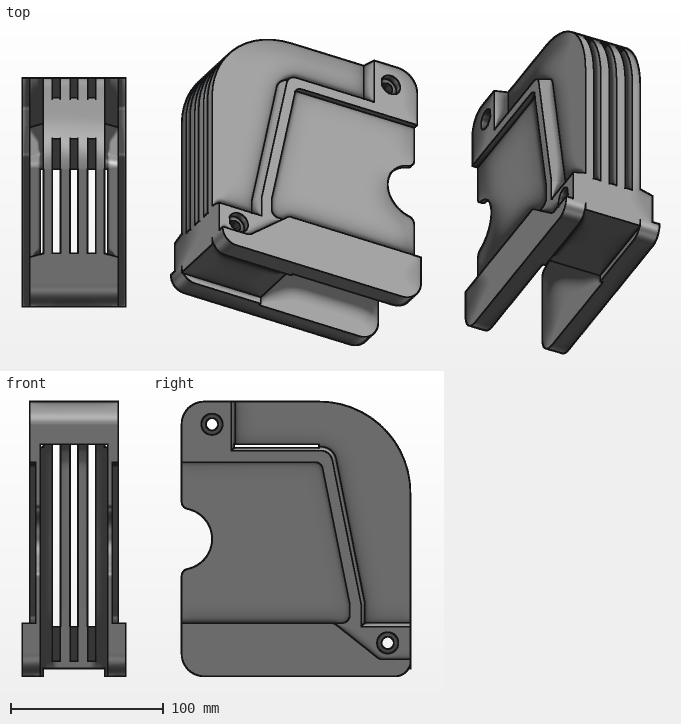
import cadquery as cq
import math

overshoot = 18.0
selection_margin = 1.8

depth = 150.0
height = 180.0

core_half = 20.0
cavity_half = 22.0
panel_half = 25.0
wall_half = 29.0
rail_half = 34.0

front_radius = 15.0
back_bottom_radius = 10.0
back_top_radius = 60.0
core_bottom = 5.0

cavity_back = 90.0
cavity_top = 152.0

notch_height = 90.0
notch_radius = 20.0
notch_edge_radius = 5.0

slope_run_per_rise = 0.2
slope_bottom = 47.5

panel_bottom = 35.0
panel_top = 140.2
panel_back = 110.2
panel_radius = 5.0

recess_front = 32.5
recess_bottom = 32.5
recess_ledge = 147.8
recess_back_start = 117.5
recess_radius = 7.5
recess_draft = 16.0

rail_top = panel_bottom
rail_back_top = 11.2
rail_slope_front = 99.9
rail_slope_back = 129.8
rail_radius = 5.0

slot_count = 3
slot_width = 5.2
slot_pitch = 11.5
top_slot_front = 35.3
top_slot_back = 110.2
top_slot_floor = 10.0
back_slot_bottom = recess_bottom
back_slot_top = 157.5

hole_inset = 15.0
top_hole_place = (20.0, height - hole_inset)
back_hole_place = (depth - hole_inset, 22.0)
hole_diameter = 8.0
counterbore_diameter = 14.0
counterbore_depth = 5.0


def box(x_range, y_range, z_range):
    """Box spanning the given (low, high) ranges."""
    corner_low, corner_high = zip(x_range, y_range, z_range)
    sizes = [high - low for low, high in zip(corner_low, corner_high)]
    return cq.Workplane("XY").box(*sizes, centered=False).translate(corner_low)


def outline(x, corners):
    """Closed YZ outline at the given X, from (y, z, corner radius) entries."""
    path = cq.Workplane("YZ", origin=(x, 0, 0))
    for index, (y, z, radius) in enumerate(corners):
        corner = cq.Vector(y, z)
        previous = cq.Vector(*corners[index - 1][:2])
        following = cq.Vector(*corners[(index + 1) % len(corners)][:2])
        back = (previous - corner).normalized()
        ahead = (following - corner).normalized()
        half_angle = back.getAngle(ahead) / 2
        tangent_length = radius / math.tan(half_angle)
        start = corner + back * tangent_length
        path = path.moveTo(start.x, start.y) if index == 0 else path.lineTo(start.x, start.y)
        if radius > 0:
            middle = corner + (back + ahead).normalized() * (radius / math.sin(half_angle) - radius)
            end = corner + ahead * tangent_length
            path = path.threePointArc((middle.x, middle.y), (end.x, end.y))
    return path.close()


def on_both_sides(solid):
    """The solid together with its mirror image across X = 0."""
    return solid.union(solid.mirror("YZ"))


def slope_shift(top):
    """Distance the sloping line moves forward from its lower end up to the given height."""
    return slope_run_per_rise * (top - slope_bottom)


def side_wall():
    """Left side wall with its notch in the front edge."""
    wall = outline(-wall_half, [
        (0, 0, front_radius),
        (depth, 0, back_bottom_radius),
        (depth, height, back_top_radius),
        (0, height, front_radius),
    ]).extrude(wall_half - core_half)
    notch = (
        cq.Workplane("YZ", origin=(-wall_half, 0, 0))
        .center(0, notch_height)
        .circle(notch_radius)
        .extrude(wall_half)
    )
    notch_edges = cq.selectors.BoxSelector(
        (-wall_half, -selection_margin, notch_height - notch_radius - selection_margin),
        (0, selection_margin, notch_height + notch_radius + selection_margin),
    )
    return wall.cut(notch).edges("|X").edges(notch_edges).fillet(notch_edge_radius)


def core():
    """Middle block between the side walls, with a raised flat underside."""
    return outline(-core_half, [
        (0, core_bottom, 0),
        (depth, core_bottom, 0),
        (depth, height, back_top_radius),
        (0, height, front_radius),
    ]).extrude(2 * core_half)


def side_panel():
    """Cutter for the sunken panel in the left wall."""
    return outline(-wall_half, [
        (-overshoot, panel_bottom, 0),
        (panel_back, panel_bottom, panel_radius),
        (panel_back, slope_bottom, 0),
        (panel_back - slope_shift(panel_top), panel_top, panel_radius),
        (-overshoot, panel_top, 0),
    ]).extrude(wall_half - panel_half)


def side_recess():
    """Cutter for the drafted L-shaped recess in the left wall."""
    return outline(-wall_half, [
        (recess_front, recess_ledge, 0),
        (recess_back_start - slope_shift(recess_ledge), recess_ledge, recess_radius),
        (recess_back_start, slope_bottom, 0),
        (recess_back_start, recess_bottom, 0),
        (depth + overshoot, recess_bottom, 0),
        (depth + overshoot, height + overshoot, 0),
        (recess_front, height + overshoot, 0),
    ]).extrude(wall_half - core_half, taper=recess_draft)


def foot_rail():
    """Thickened rail at the bottom of the left wall."""
    return outline(-rail_half, [
        (0, 0, front_radius),
        (depth, 0, back_bottom_radius),
        (depth, rail_back_top, 0),
        (rail_slope_back, rail_back_top, rail_radius),
        (rail_slope_front, rail_top, rail_radius),
        (0, rail_top, 0),
    ]).extrude(rail_half - wall_half)


def vent_slots():
    """Cutters for the slots in the top and in the back of the core."""
    slots = cq.Workplane("XY")
    for index in range(slot_count):
        middle = (index - (slot_count - 1) / 2) * slot_pitch
        x_range = (middle - slot_width / 2, middle + slot_width / 2)
        top_slot = box(x_range, (top_slot_front, top_slot_back), (top_slot_floor, height))
        back_slot = box(x_range, (cavity_back, depth), (back_slot_bottom, back_slot_top))
        slots = slots.add(top_slot).add(back_slot)
    return slots.combine()


def screw_holes():
    """Cutters for the through holes, counterbored from both sides."""
    plane = cq.Workplane("YZ", origin=(-wall_half, 0, 0)).pushPoints([top_hole_place, back_hole_place])
    bores = plane.circle(hole_diameter / 2).extrude(2 * wall_half)
    counterbores = plane.circle(counterbore_diameter / 2).extrude(counterbore_depth)
    return bores.union(on_both_sides(counterbores))


cavity = box(
    (-cavity_half, cavity_half),
    (-overshoot, cavity_back),
    (-overshoot, cavity_top),
)

result = (
    core()
    .union(on_both_sides(side_wall()))
    .cut(cavity)
    .cut(on_both_sides(side_panel()))
    .cut(on_both_sides(side_recess()))
    .union(on_both_sides(foot_rail()))
    .cut(vent_slots())
    .cut(screw_holes())
)